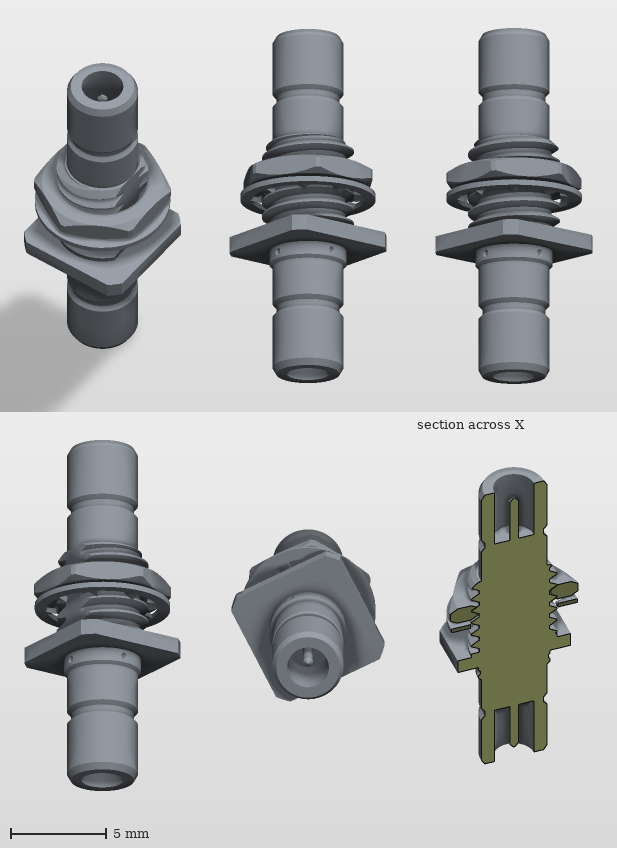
import cadquery as cq
import math

body_length = 18.4
barrel_d = 3.73
groove_d = 3.33
end_chamfer_h = 0.345
groove_center_z = 5.74
groove_width = 0.77
groove_floor_width = 0.33
bore_d = 2.19
bore_depth = 3.5
pin_d = 0.51
pin_recess = 0.68
pin_tip_h = 0.25
pin_tip_d = 0.1

flange_side = 6.35
flange_corner_d = 8.23
flange_top_z = -1.68
flange_bottom_z = -2.51
collar_d = 4.06
collar_bottom_z = -3.38
collar_chamfer = (collar_d - barrel_d) / 2

dimple_count = 4
dimple_d = 0.39
dimple_floor_d = 0.18
dimple_depth = 0.11
dimple_z = -2.87

thread_major_d = 4.826
thread_root_d = 3.96
thread_pitch = 25.4 / 32
thread_crest_flat = thread_pitch / 8
thread_top_z = 3.38
thread_bottom_z = -1.44
thread_lead_d = 4.06
thread_flank_angle = math.radians(30)
thread_start_angle = 35.0
thread_overrun = 2 * thread_pitch
root_sink = 0.08
shoulder_overlap = 0.1
envelope_clearance = 0.08

nut_across_flats = 6.35
nut_corner_d = 7.19
nut_bore_d = 4.12
nut_countersink_d = 4.86
nut_bottom_z = 0.87
nut_top_z = 1.87
nut_bevel_angle = 30.0

washer_d = 7.11
washer_bottom_z = 0.31
washer_thickness = 0.28
washer_ring_inner_d = 5.9
tooth_count = 8
tooth_tip_r = 2.44
tooth_width = 0.6
tooth_twist = 30.0
tooth_root_overlap = 0.15
tooth_root_thickness = 0.25


def cylinder(diameter, z_low, z_high):
    return cq.Workplane("XY").workplane(offset=z_low).circle(diameter / 2).extrude(z_high - z_low)


def revolve_half_section(points):
    """Revolve a closed (radius, z) outline about the Z axis."""
    return cq.Workplane("XZ").polyline(points).close().revolve(360, (0, 0, 0), (0, 1, 0))


def make_threaded_rod(core_d):
    """Right-hand thread ridge on a core of the given diameter, running past both ends of the thread."""
    major_r = thread_major_d / 2
    inner_r = thread_root_d / 2 - root_sink
    crest_half = thread_crest_flat / 2
    base_half = crest_half + (major_r - inner_r) * math.tan(thread_flank_angle)
    start_z = thread_bottom_z - thread_overrun
    end_z = thread_top_z + thread_overrun
    helix = cq.Wire.makeHelix(thread_pitch, end_z - start_z, inner_r, cq.Vector(0, 0, start_z))
    ridge = (
        cq.Workplane("XZ")
        .polyline([
            (inner_r, start_z - base_half),
            (major_r, start_z - crest_half),
            (major_r, start_z + crest_half),
            (inner_r, start_z + base_half),
        ])
        .close()
        .sweep(cq.Workplane(helix), isFrenet=True)
        .rotate((0, 0, 0), (0, 0, 1), thread_start_angle)
    )
    core = cylinder(core_d, start_z - thread_pitch, end_z + thread_pitch)
    return core.union(ridge)


def make_barrel():
    """Plain barrel with beveled ends and a V-sided snap groove near each end."""
    end_z = body_length / 2
    barrel_r = barrel_d / 2
    groove_r = groove_d / 2
    upper_half = [
        (barrel_r, groove_center_z - groove_width / 2),
        (groove_r, groove_center_z - groove_floor_width / 2),
        (groove_r, groove_center_z + groove_floor_width / 2),
        (barrel_r, groove_center_z + groove_width / 2),
        (barrel_r, end_z - end_chamfer_h),
        (groove_r, end_z),
        (0, end_z),
    ]
    lower_half = [(r, -z) for r, z in reversed(upper_half)]
    return revolve_half_section(lower_half + upper_half)


def make_socket():
    """Space of the upper socket: a round bore around the pointed contact pin."""
    end_z = body_length / 2
    floor_z = end_z - bore_depth
    tip_z = end_z - pin_recess
    pin_r = pin_d / 2
    return revolve_half_section([
        (pin_r, floor_z),
        (bore_d / 2, floor_z),
        (bore_d / 2, end_z),
        (0, end_z),
        (0, tip_z),
        (pin_tip_d / 2, tip_z),
        (pin_r, tip_z - pin_tip_h),
    ])


def make_flange():
    """Square plate with its corners turned to a round outline."""
    plate = (
        cq.Workplane("XY")
        .workplane(offset=flange_bottom_z)
        .rect(flange_side, flange_side)
        .extrude(flange_top_z - flange_bottom_z)
    )
    return plate.intersect(cylinder(flange_corner_d, flange_bottom_z, flange_top_z))


def make_collar():
    collar = cylinder(collar_d, collar_bottom_z, flange_bottom_z)
    collar = collar.faces("<Z").chamfer(collar_chamfer)
    collar_r = collar_d / 2
    floor_r = collar_r - dimple_depth
    dimple = cq.Workplane(cq.Solid.makeCone(
        dimple_floor_d / 2, dimple_d / 2, dimple_depth,
        cq.Vector(floor_r, 0, dimple_z), cq.Vector(1, 0, 0),
    ))
    for i in range(dimple_count):
        collar = collar.cut(dimple.rotate((0, 0, 0), (0, 0, 1), i * 360 / dimple_count))
    return collar


def make_threaded_section():
    """Thread and its shoulder, with one flat on the +X side tangent to the barrel."""
    lead_r = thread_lead_d / 2
    outer_r = thread_major_d / 2 + envelope_clearance
    bottom_z = thread_bottom_z - shoulder_overlap
    envelope = revolve_half_section([
        (0, bottom_z),
        (outer_r, bottom_z),
        (outer_r, thread_top_z - (outer_r - lead_r)),
        (lead_r, thread_top_z),
        (0, thread_top_z),
    ])
    thread = make_threaded_rod(thread_root_d).intersect(envelope)
    shoulder = cylinder(thread_major_d, flange_top_z, thread_bottom_z)
    flat_cutter = (
        cq.Workplane("XY")
        .workplane(offset=flange_top_z)
        .center(barrel_d / 2 + thread_major_d / 2, 0)
        .rect(thread_major_d, 2 * thread_major_d)
        .extrude(thread_top_z - flange_top_z)
    )
    return thread.union(shoulder).cut(flat_cutter)


def make_body():
    socket = make_socket()
    body = make_threaded_section().union(make_flange()).union(make_collar()).union(make_barrel())
    return body.cut(socket).cut(socket.mirror("XY"))


def make_nut():
    """Hexagon nut with flats facing +X and -X and a threaded, countersunk bore."""
    across_corners = nut_across_flats / math.cos(math.radians(30))
    hexagon = (
        cq.Workplane("XY")
        .workplane(offset=nut_bottom_z)
        .polygon(6, across_corners)
        .extrude(nut_top_z - nut_bottom_z)
        .rotate((0, 0, 0), (0, 0, 1), 30)
    )
    face_r = nut_across_flats / 2
    corner_r = nut_corner_d / 2
    bevel_h = (corner_r - face_r) * math.tan(math.radians(nut_bevel_angle))
    turned_blank = revolve_half_section([
        (0, nut_bottom_z),
        (face_r, nut_bottom_z),
        (corner_r, nut_bottom_z + bevel_h),
        (corner_r, nut_top_z - bevel_h),
        (face_r, nut_top_z),
        (0, nut_top_z),
    ])
    sink_r = nut_countersink_d / 2
    bore_r = nut_bore_d / 2
    sink_h = (sink_r - bore_r) * math.tan(math.radians(nut_bevel_angle))
    countersinks = revolve_half_section([
        (0, nut_bottom_z),
        (sink_r, nut_bottom_z),
        (bore_r, nut_bottom_z + sink_h),
        (bore_r, nut_top_z - sink_h),
        (sink_r, nut_top_z),
        (0, nut_top_z),
    ])
    blank = hexagon.intersect(turned_blank)
    return blank.cut(make_threaded_rod(nut_bore_d)).cut(countersinks)


def make_tooth():
    """Tooth on the -Y side, twisted about its own length from a flat root to a tilted tip."""
    root_r = washer_ring_inner_d / 2 + tooth_root_overlap
    mid_z = washer_bottom_z + washer_thickness / 2
    return (
        cq.Workplane("XZ", origin=(0, -root_r, mid_z))
        .rect(tooth_width, tooth_root_thickness)
        .workplane(offset=tooth_tip_r - root_r)
        .transformed(rotate=(0, 0, -tooth_twist))
        .rect(tooth_width, washer_thickness)
        .loft(ruled=True)
    )


def make_washer():
    washer_top_z = washer_bottom_z + washer_thickness
    ring = cylinder(washer_d, washer_bottom_z, washer_top_z)
    washer = ring.cut(cylinder(washer_ring_inner_d, washer_bottom_z, washer_top_z))
    tooth = make_tooth()
    for i in range(tooth_count):
        washer = washer.union(tooth.rotate((0, 0, 0), (0, 0, 1), i * 360 / tooth_count))
    return washer


body = make_body()
nut = make_nut()
washer = make_washer()

result = cq.Compound.makeCompound([body.val(), nut.val(), washer.val()])